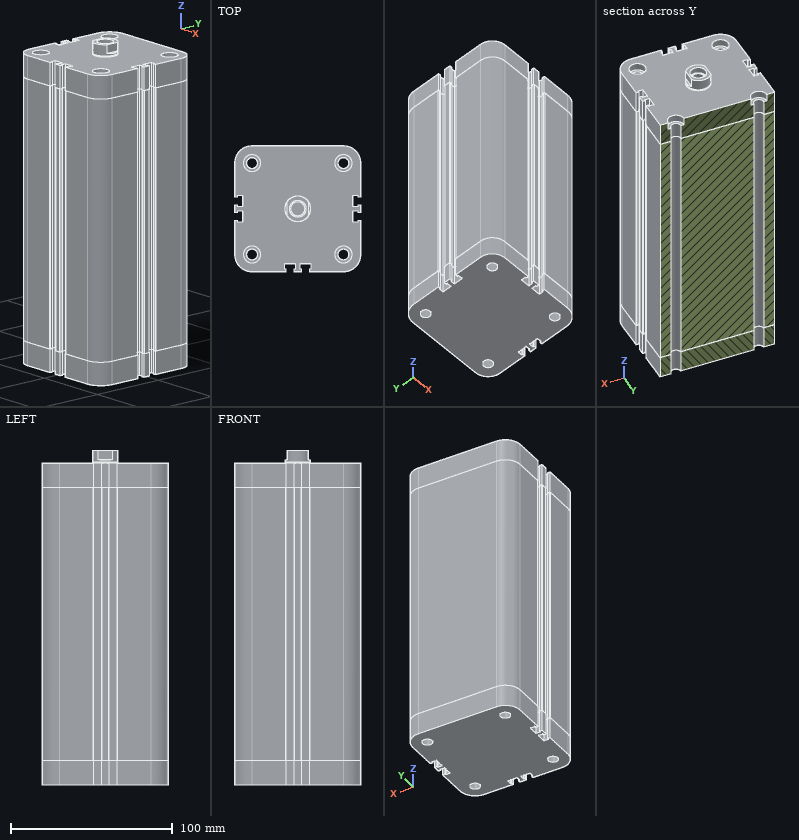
import cadquery as cq

TOTAL_HEIGHT = 207.0
SIDE = 78.0
CORNER_RADIUS = 10.8
CAP_HEIGHT = 15.1
ROD_PROJECTION = 7.9

BOLT_SPACING = 56.5
BOLT_HOLE_DIAMETER = 6.6
COUNTERBORE_DIAMETER = 10.5
COUNTERBORE_DEPTH = 5.0

SLOT_OFFSET = 4.8
SLOT_OPENING = 4.8
SLOT_INNER_WIDTH = 6.6
SLOT_LIP = 1.9
SLOT_DEPTH = 5.0
SLOT_SIDE_ANGLES = (0, 90, -90)
LIP_CHAMFER = 0.52

ROD_DIAMETER = 16.0
ROD_END_DIAMETER = 15.7
SHOULDER_HEIGHT = 0.6
FLAT_WIDTH = 13.0
FLAT_LENGTH = 5.5
FLAT_RUNOUT = 0.5
ROD_BORE_DIAMETER = 8.7
ROD_BORE_DEPTH = 12.5
ROD_MOUTH_DIAMETER = 10.4
ROD_MOUTH_DEPTH = 4.1

BODY_HEIGHT = TOTAL_HEIGHT - ROD_PROJECTION
TUBE_HEIGHT = BODY_HEIGHT - 2 * CAP_HEIGHT
TOP_CAP_BASE = BODY_HEIGHT - CAP_HEIGHT


def bolt_positions(plane):
    """Put the four bolt axes on a workplane."""
    return plane.rect(BOLT_SPACING, BOLT_SPACING, forConstruction=True).vertices()


def t_slot(height, base, center_x, mouth_chamfer):
    """One T-slot cutter in the -Y side, open at the outer face."""
    face_y = -SIDE / 2
    half_mouth = SLOT_OPENING / 2
    half_inner = SLOT_INNER_WIDTH / 2
    lip_y = face_y + SLOT_LIP
    floor_y = face_y + SLOT_DEPTH
    right_half = [
        (half_mouth + mouth_chamfer, face_y),
        (half_mouth, face_y + mouth_chamfer),
        (half_mouth, lip_y),
        (half_inner, lip_y),
        (half_inner, floor_y),
    ]
    if mouth_chamfer == 0:
        right_half.pop(0)
    left_half = [(-x, y) for x, y in reversed(right_half)]
    outline = [(center_x + x, y) for x, y in right_half + left_half]
    return cq.Workplane("XY").workplane(offset=base).polyline(outline).close().extrude(height)


def section_block(height, base, mouth_chamfer):
    """Length of the slotted square section with its four bolt holes."""
    block = (
        cq.Workplane("XY")
        .workplane(offset=base)
        .rect(SIDE, SIDE)
        .extrude(height)
        .edges("|Z")
        .fillet(CORNER_RADIUS)
    )
    block = bolt_positions(block.faces(">Z").workplane(origin=(0, 0, 0))).hole(BOLT_HOLE_DIAMETER)
    for angle in SLOT_SIDE_ANGLES:
        for center_x in (-SLOT_OFFSET, SLOT_OFFSET):
            slot = t_slot(height, base, center_x, mouth_chamfer)
            block = block.cut(slot.rotate((0, 0, 0), (0, 0, 1), angle))
    return block


def make_tube():
    return section_block(TUBE_HEIGHT, CAP_HEIGHT, LIP_CHAMFER)


def make_bottom_cap():
    return section_block(CAP_HEIGHT, 0, 0)


def make_top_cap():
    """End cap with counterbored bolt holes and a bore for the rod."""
    cap = section_block(CAP_HEIGHT, TOP_CAP_BASE, 0)
    top = cap.faces(">Z").workplane(origin=(0, 0, 0))
    cap = bolt_positions(top).circle(COUNTERBORE_DIAMETER / 2).cutBlind(-COUNTERBORE_DEPTH)
    return cap.faces(">Z").workplane(origin=(0, 0, 0)).hole(ROD_DIAMETER)


def flat_cutter():
    """Cutter for the +X wrench flat, ending below in a sloped ledge."""
    flat_x = FLAT_WIDTH / 2
    outer_x = ROD_END_DIAMETER / 2
    clear_x = ROD_DIAMETER
    flat_bottom = TOTAL_HEIGHT - FLAT_LENGTH
    ledge_bottom = flat_bottom - FLAT_RUNOUT
    outline = [
        (flat_x, TOTAL_HEIGHT),
        (flat_x, flat_bottom),
        (outer_x, ledge_bottom),
        (clear_x, ledge_bottom),
        (clear_x, TOTAL_HEIGHT),
    ]
    return cq.Workplane("XZ").polyline(outline).close().extrude(ROD_DIAMETER / 2, both=True)


def make_rod():
    """Rod reaching down through the top cap, with two flats and a stepped blind bore."""
    shoulder_z = BODY_HEIGHT + SHOULDER_HEIGHT
    rod = (
        cq.Workplane("XY")
        .workplane(offset=TOP_CAP_BASE)
        .circle(ROD_DIAMETER / 2)
        .extrude(shoulder_z - TOP_CAP_BASE)
        .faces(">Z")
        .workplane()
        .circle(ROD_END_DIAMETER / 2)
        .extrude(TOTAL_HEIGHT - shoulder_z)
    )
    rod = rod.faces(">Z").workplane().circle(ROD_BORE_DIAMETER / 2).cutBlind(-ROD_BORE_DEPTH)
    rod = rod.faces(">Z").workplane().circle(ROD_MOUTH_DIAMETER / 2).cutBlind(-ROD_MOUTH_DEPTH)
    flat = flat_cutter()
    return rod.cut(flat).cut(flat.mirror("YZ"))


tube = make_tube()
bottom_cap = make_bottom_cap()
top_cap = make_top_cap()
rod = make_rod()

result = cq.Compound.makeCompound([tube.val(), bottom_cap.val(), top_cap.val(), rod.val()])